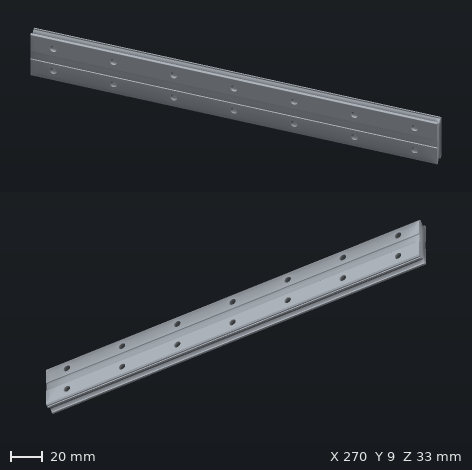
import cadquery as cq

LENGTH = 270.0
THICKNESS = 9.0
HEIGHT = 33.0
HALF_LENGTH = LENGTH / 2
HALF_THICKNESS = THICKNESS / 2
HALF_HEIGHT = HEIGHT / 2

TONGUE_CHAMFER = 0.8
SHOULDER_DROP = 0.8
SHOULDER_WIDTH = 0.8
RIDGE_WIDTH = 0.8

GROOVE_DEPTH = 2.2
GROOVE_FLOOR_WIDTH = 1.0
GROOVE_BACK_SLOPE_WIDTH = 1.4
GROOVE_FRONT_SLOPE_WIDTH = 1.4
GROOVE_FRONT_SLOPE_RISE = 1.4

LIP_WIDTH = 1.5
LIP_CORNER_RADIUS = 0.5

CHANNEL_MOUTH_WIDTH = 6.8
CHANNEL_FLOOR_WIDTH = 6.2
CHANNEL_DEPTH = 0.5

HOLE_DIAMETER = 4.5
HOLE_PITCH = 40.0
HOLE_COLUMNS = 7
HOLE_ROWS = 2
HOLE_ROW_SPACING = 17.8


def lengthwise_prism(points):
    """Full-length prism with the given (Y, Z) outline."""
    return cq.Workplane("YZ").polyline(points).close().extrude(HALF_LENGTH, both=True)


def top_edge_points():
    """(Y, Z) points of the top edge, from the back face to the front face."""
    shoulder_z = HALF_HEIGHT - SHOULDER_DROP
    shoulder_back_y = HALF_THICKNESS - TONGUE_CHAMFER
    ridge_back_y = shoulder_back_y - SHOULDER_WIDTH
    ridge_front_y = ridge_back_y - RIDGE_WIDTH
    shoulder_front_y = ridge_front_y - SHOULDER_WIDTH
    tongue = [
        (HALF_THICKNESS, shoulder_z - TONGUE_CHAMFER),
        (shoulder_back_y, shoulder_z),
        (ridge_back_y, shoulder_z),
        (ridge_back_y, HALF_HEIGHT),
        (ridge_front_y, HALF_HEIGHT),
        (ridge_front_y, shoulder_z),
        (shoulder_front_y, shoulder_z),
    ]

    floor_z = HALF_HEIGHT - GROOVE_DEPTH
    floor_back_y = shoulder_front_y - GROOVE_BACK_SLOPE_WIDTH
    floor_front_y = floor_back_y - GROOVE_FLOOR_WIDTH
    lip_y = LIP_WIDTH - HALF_THICKNESS
    groove = [
        (floor_back_y, floor_z),
        (floor_front_y, floor_z),
        (floor_front_y - GROOVE_FRONT_SLOPE_WIDTH, floor_z + GROOVE_FRONT_SLOPE_RISE),
    ]

    lip = [
        (lip_y, HALF_HEIGHT),
        (-HALF_THICKNESS, HALF_HEIGHT),
    ]
    return tongue + groove + lip


def bar_body():
    """Bar with matching top and bottom edges and rounded front corners."""
    top_edge = top_edge_points()
    bottom_edge = [(y, -z) for y, z in reversed(top_edge)]
    body = lengthwise_prism(top_edge + bottom_edge)
    return body.edges("|X and <Y").fillet(LIP_CORNER_RADIUS)


def face_channel(side):
    """Tapered channel in the back (side = 1) or front (side = -1) face."""
    half_mouth = CHANNEL_MOUTH_WIDTH / 2
    half_floor = CHANNEL_FLOOR_WIDTH / 2
    mouth_y = side * HALF_THICKNESS
    floor_y = side * (HALF_THICKNESS - CHANNEL_DEPTH)
    return lengthwise_prism([
        (mouth_y, -half_mouth),
        (floor_y, -half_floor),
        (floor_y, half_floor),
        (mouth_y, half_mouth),
    ])


def through_holes():
    """Cylinders for the two rows of holes, running front to back."""
    return (
        cq.Workplane("XZ")
        .rarray(HOLE_PITCH, HOLE_ROW_SPACING, HOLE_COLUMNS, HOLE_ROWS)
        .circle(HOLE_DIAMETER / 2)
        .extrude(HALF_THICKNESS, both=True)
    )


result = bar_body()
for face_side in (-1, 1):
    result = result.cut(face_channel(face_side))
result = result.cut(through_holes())